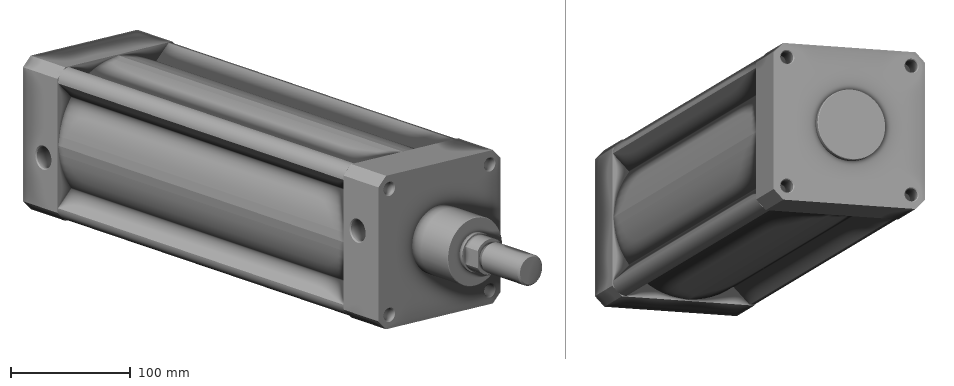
import cadquery as cq
import math


TOTAL_LENGTH = 585.0

CAP_SIZE = 134.0
CAP_LENGTH = 45.0
CAP_CHAMFER = 8.5

BOSS_DIAMETER = 60.0
BOSS_CHAMFER = 0.5
REAR_BOSS_LENGTH = 6.0
FRONT_BOSS_LENGTH = 46.0

SCREW_SPACING = 110.0
SCREW_DIAMETER = 11.0
SCREW_DEPTH = 20.0
SCREW_COUNTERSINK = 0.75

PORT_DIAMETER = 19.0
PORT_DEPTH = 20.0
PORT_COUNTERSINK = 1.0
PORT_OFFSET_Z = 14.5
REAR_PORT_INSET = 26.5
FRONT_PORT_INSET = 18.0

TUBE_LENGTH = 370.5
TUBE_RADIUS = 65.5
BORE_RADIUS = 62.5
RIDGE_WIDTH = 16.0
NOSE_CENTRE = 54.5
NOSE_RADIUS = 12.0
LUG_ROOT_FILLET = 1.0
EDGE_TOLERANCE = 0.01

COLLAR_DIAMETER = 34.0
COLLAR_LENGTH = 3.5
ROD_DIAMETER = 31.0
FLATS_WIDTH = 27.0
FLATS_LENGTH = 16.0
NECK_DIAMETER = 23.0
NECK_LENGTH = 3.0
THREAD_DIAMETER = 27.0
THREAD_CHAMFER = 1.5

REAR_CAP_X = REAR_BOSS_LENGTH
TUBE_X = REAR_CAP_X + CAP_LENGTH
FRONT_CAP_X = TUBE_X + TUBE_LENGTH
FRONT_BOSS_X = FRONT_CAP_X + CAP_LENGTH
COLLAR_X = FRONT_BOSS_X + FRONT_BOSS_LENGTH
FLATS_X = COLLAR_X + COLLAR_LENGTH
NECK_X = FLATS_X + FLATS_LENGTH
THREAD_X = NECK_X + NECK_LENGTH


def section_plane(x):
    """Workplane across the cylinder axis: local x is Y, local y is Z."""
    return cq.Workplane("YZ", origin=(x, 0, 0))


def disc(x, diameter, length):
    return section_plane(x).circle(diameter / 2).extrude(length)


def cap_block(x):
    block = section_plane(x).rect(CAP_SIZE, CAP_SIZE).extrude(CAP_LENGTH)
    return block.edges("|X").chamfer(CAP_CHAMFER)


def countersunk_plug(diameter, depth, countersink):
    """Hole volume along +Z: mouth at the origin, widened by a 45 degree countersink."""
    hole = cq.Workplane("XY").circle(diameter / 2).extrude(depth)
    mouth = cq.Solid.makeCone(diameter / 2 + countersink, diameter / 2, countersink)
    return hole.union(cq.Workplane(mouth))


def screw_holes(x, turn):
    """Four corner holes with their mouths at x; a turn of 90 drills toward +X, -90 toward -X."""
    plug = countersunk_plug(SCREW_DIAMETER, SCREW_DEPTH, SCREW_COUNTERSINK).rotate((0, 0, 0), (0, 1, 0), turn)
    corners = section_plane(x).rect(SCREW_SPACING, SCREW_SPACING, forConstruction=True).vertices()
    holes = [plug.val().translate(corner.Center()) for corner in corners.vals()]
    return cq.Workplane(cq.Compound.makeCompound(holes))


def port(x, z):
    """Port drilled toward +Y from the -Y face."""
    plug = countersunk_plug(PORT_DIAMETER, PORT_DEPTH, PORT_COUNTERSINK).rotate((0, 0, 0), (1, 0, 0), -90)
    return plug.translate((x, -CAP_SIZE / 2, z))


def make_rear_cap():
    boss = disc(0, BOSS_DIAMETER, REAR_BOSS_LENGTH).faces("<X").chamfer(BOSS_CHAMFER)
    cap = cap_block(REAR_CAP_X).union(boss)
    cap = cap.cut(screw_holes(REAR_CAP_X, 90))
    return cap.cut(port(REAR_CAP_X + REAR_PORT_INSET, -PORT_OFFSET_Z))


def make_front_cap():
    boss = disc(FRONT_BOSS_X, BOSS_DIAMETER, FRONT_BOSS_LENGTH).faces(">X").chamfer(BOSS_CHAMFER)
    cap = cap_block(FRONT_CAP_X).union(boss)
    cap = cap.cut(screw_holes(FRONT_BOSS_X, -90))
    cap = cap.cut(port(FRONT_CAP_X + FRONT_PORT_INSET, PORT_OFFSET_Z))
    rod_bore = disc(FRONT_CAP_X, ROD_DIAMETER, COLLAR_X - FRONT_CAP_X)
    return cap.cut(rod_bore)


def corner_lug():
    """Lug in the +Y +Z corner: two 45 degree flanks joined by a quarter-round nose."""
    outer = NOSE_CENTRE + NOSE_RADIUS
    middle = NOSE_CENTRE + NOSE_RADIUS * math.cos(math.pi / 4)
    return (
        section_plane(TUBE_X)
        .moveTo(NOSE_RADIUS, 0)
        .lineTo(outer, NOSE_CENTRE)
        .threePointArc((middle, middle), (NOSE_CENTRE, outer))
        .lineTo(0, NOSE_RADIUS)
        .close()
        .extrude(TUBE_LENGTH)
    )


def side_ridge():
    """Low ridge on the +Y side: two faces tangent to the round body, meeting at a crest."""
    half_angle = math.asin(RIDGE_WIDTH / 2 / TUBE_RADIUS)
    tangent_y = TUBE_RADIUS * math.cos(half_angle)
    crest_y = TUBE_RADIUS / math.cos(half_angle)
    return (
        section_plane(TUBE_X)
        .moveTo(0, 0)
        .lineTo(tangent_y, -RIDGE_WIDTH / 2)
        .lineTo(crest_y, 0)
        .lineTo(tangent_y, RIDGE_WIDTH / 2)
        .close()
        .extrude(TUBE_LENGTH)
    )


def is_lug_root(edge):
    """True for a lengthwise edge where a lug flank meets the round body."""
    centre = edge.Center()
    on_body = abs(math.hypot(centre.y, centre.z) - TUBE_RADIUS) < EDGE_TOLERANCE
    clear_of_ridges = min(abs(centre.y), abs(centre.z)) > RIDGE_WIDTH
    return on_body and clear_of_ridges


def make_tube():
    tube = disc(TUBE_X, 2 * TUBE_RADIUS, TUBE_LENGTH)
    for side in range(4):
        for feature in (side_ridge(), corner_lug()):
            tube = tube.union(feature.rotate((0, 0, 0), (1, 0, 0), 90 * side))
    lug_roots = tube.edges("|X").filter(is_lug_root)
    tube = lug_roots.fillet(LUG_ROOT_FILLET)
    return tube.cut(disc(TUBE_X, 2 * BORE_RADIUS, TUBE_LENGTH))


def make_piston_rod():
    shank = disc(FRONT_CAP_X, ROD_DIAMETER, FLATS_X - FRONT_CAP_X)
    collar = disc(COLLAR_X, COLLAR_DIAMETER, COLLAR_LENGTH)
    flats_slab = section_plane(FLATS_X).rect(FLATS_WIDTH, ROD_DIAMETER).extrude(FLATS_LENGTH)
    wrench_flats = disc(FLATS_X, ROD_DIAMETER, FLATS_LENGTH).intersect(flats_slab)
    neck = disc(NECK_X, NECK_DIAMETER, NECK_LENGTH)
    thread = disc(THREAD_X, THREAD_DIAMETER, TOTAL_LENGTH - THREAD_X)
    thread = thread.faces("<X or >X").chamfer(THREAD_CHAMFER)
    return shank.union(collar).union(wrench_flats).union(neck).union(thread)


rear_cap = make_rear_cap()
tube = make_tube()
front_cap = make_front_cap()
piston_rod = make_piston_rod()

result = cq.Compound.makeCompound([rear_cap.val(), tube.val(), front_cap.val(), piston_rod.val()])